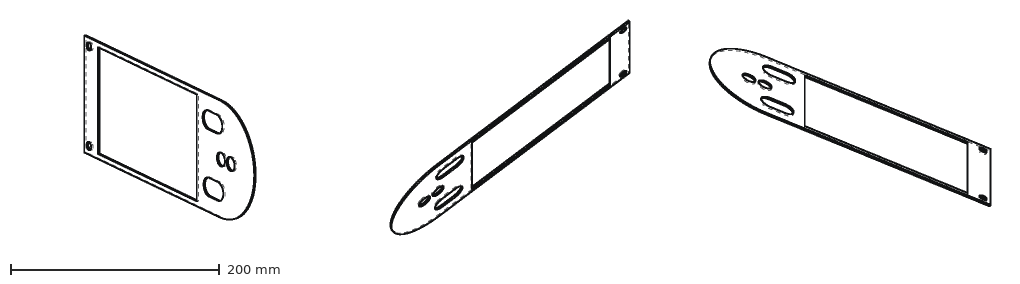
import cadquery as cq

length = 295.7
height = 118.0
thickness = 2.0
end_radius = height / 2
left = -length / 2
arc_center_x = length / 2 - end_radius

window_offset = 24.0
window_length = 171.8
window_height = 107.5

mount_diameter = 8.0
mount_offset = 8.0
mount_spacing = 100.5

center_hole_diameter = 14.0
center_hole_offset = 237.7
center_hole_spacing = 17.0

slot_length = 34.3
slot_width = 19.0
slot_rise = 33.7
upper_slot_offset = 223.0
lower_slot_offset = 224.7


def sketch_plane():
    """XZ plane on the back face; extrusion runs toward -Y."""
    return cq.Workplane("XZ", origin=(0, thickness / 2, 0))


def plate():
    return (
        sketch_plane()
        .moveTo(left, -end_radius)
        .lineTo(arc_center_x, -end_radius)
        .threePointArc((length / 2, 0), (arc_center_x, end_radius))
        .lineTo(left, end_radius)
        .close()
        .extrude(thickness)
    )


def window():
    center_x = left + window_offset + window_length / 2
    return sketch_plane().center(center_x, 0).rect(window_length, window_height).extrude(thickness)


def round_holes(points, diameter):
    return sketch_plane().pushPoints(points).circle(diameter / 2).extrude(thickness)


def slots():
    centers = [
        (left + upper_slot_offset, slot_rise),
        (left + lower_slot_offset, -slot_rise),
    ]
    return sketch_plane().pushPoints(centers).slot2D(slot_length, slot_width).extrude(thickness)


mount_points = [(left + mount_offset, side * mount_spacing / 2) for side in (-1, 1)]
center_points = [(left + center_hole_offset + i * center_hole_spacing, 0) for i in range(2)]

result = (
    plate()
    .cut(window())
    .cut(round_holes(mount_points, mount_diameter))
    .cut(round_holes(center_points, center_hole_diameter))
    .cut(slots())
)